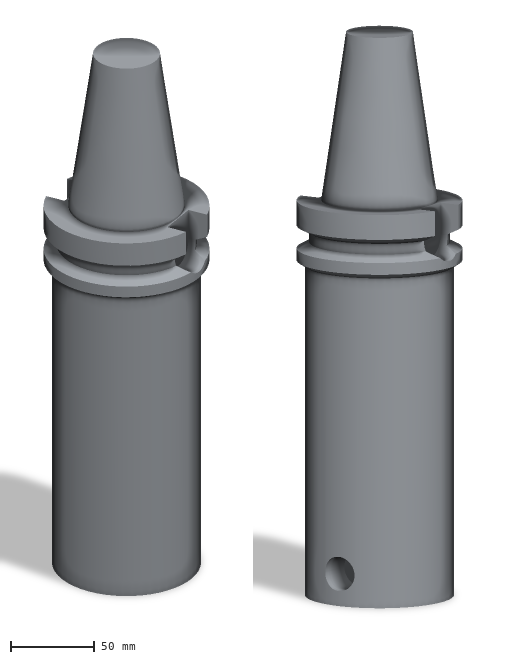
import cadquery as cq

total_height = 344.8
flange_diameter = 100.0
body_diameter = 90.0

taper_length = 101.7
neck_diameter = 70.0
taper_ratio = 7 / 24
tip_diameter = neck_diameter - taper_ratio * taper_length

flange_top = 241.7
groove_diameter = 84.8
upper_rim_depth = 15.0
groove_start_depth = 19.0
groove_end_depth = 25.5
lower_rim_start_depth = 29.3
lower_rim_end_depth = 36.5
flange_depth = 39.5

slot_width = 26.0
slot_depth = 32.5
slot_floor_distance = 35.5

side_hole_diameter = 21.0
side_hole_height = 19.5
side_hole_depth = 22.5


def make_turned_body():
    """Revolve the half profile of the holder about Z."""
    body_radius = body_diameter / 2
    rim_radius = flange_diameter / 2
    groove_radius = groove_diameter / 2
    neck_radius = neck_diameter / 2
    profile = [
        (0, 0),
        (body_radius, 0),
        (body_radius, flange_top - flange_depth),
        (rim_radius, flange_top - lower_rim_end_depth),
        (rim_radius, flange_top - lower_rim_start_depth),
        (groove_radius, flange_top - groove_end_depth),
        (groove_radius, flange_top - groove_start_depth),
        (rim_radius, flange_top - upper_rim_depth),
        (rim_radius, flange_top),
        (neck_radius, flange_top),
        (neck_radius, total_height - taper_length),
        (tip_diameter / 2, total_height),
        (0, total_height),
    ]
    return cq.Workplane("XZ").polyline(profile).close().revolve(360, (0, 0), (0, 1))


def make_drive_slot(side):
    """Slot with a round lower end, open upward; side is -1 or +1 along X."""
    half_width = slot_width / 2
    slot_bottom = flange_top - slot_depth
    arc_center = slot_bottom + half_width
    return (
        cq.Workplane("YZ", origin=(side * slot_floor_distance, 0, 0))
        .moveTo(-half_width, flange_top)
        .lineTo(-half_width, arc_center)
        .threePointArc((0, slot_bottom), (half_width, arc_center))
        .lineTo(half_width, flange_top)
        .close()
        .extrude(side * flange_diameter / 2)
    )


def make_side_hole():
    """Blind hole entering the body from the +Y side."""
    return (
        cq.Workplane("XZ", origin=(0, body_diameter / 2, side_hole_height))
        .circle(side_hole_diameter / 2)
        .extrude(side_hole_depth)
    )


result = make_turned_body()
for slot_side in (-1, 1):
    result = result.cut(make_drive_slot(slot_side))
result = result.cut(make_side_hole())